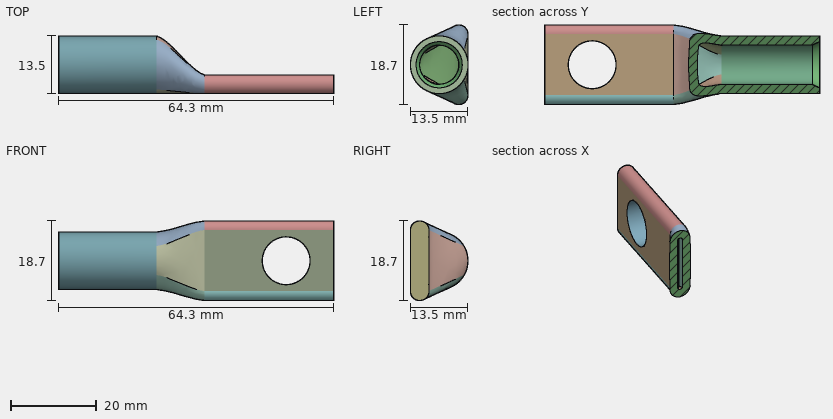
import cadquery as cq
import math

total_length = 64.3
barrel_length = 22.9
barrel_radius = 6.75
neck_length = 11.25
palm_width = 18.65
palm_thickness = 4.4

wall = palm_thickness / 2
bore_radius = barrel_radius - wall
palm_start = barrel_length + neck_length
palm_length = total_length - palm_start
palm_center_y = wall - barrel_radius

mouth_radius = 5.4
mouth_depth = 1.75

hole_diameter = 11.1
hole_x = 53.15

flat_half_angle = math.radians(30)
slit_half_gap = 0.05
neck_stations = (0.0, 0.125, 0.25, 0.5, 0.75, 0.875, 1.0)
linear_share = 0.4


def flattening(station):
    """Share of the change from round to flat at a station along the neck."""
    eased = station**2 * (3 - 2 * station)
    return linear_share * station + (1 - linear_share) * eased


def neck_wire(station, round_radius, flat_radius):
    """Section between a circle and a slot with rounded ends of flat_radius."""
    share = flattening(station)
    corner_y = round_radius * math.cos(flat_half_angle)
    corner_z = round_radius * math.sin(flat_half_angle)
    end_center_z = palm_width / 2 - wall
    x = barrel_length + station * neck_length

    def blend(round_point, flat_point):
        y, z = [a + share * (b - a) for a, b in zip(round_point, flat_point)]
        return cq.Vector(x, y, z)

    front_y = palm_center_y - flat_radius
    back_y = palm_center_y + flat_radius
    front_low = blend((-corner_y, -corner_z), (front_y, -end_center_z))
    front_mid = blend((-round_radius, 0), (front_y, 0))
    front_high = blend((-corner_y, corner_z), (front_y, end_center_z))
    top = blend((0, round_radius), (palm_center_y, end_center_z + flat_radius))
    back_high = blend((corner_y, corner_z), (back_y, end_center_z))
    back_mid = blend((round_radius, 0), (back_y, 0))
    back_low = blend((corner_y, -corner_z), (back_y, -end_center_z))
    bottom = blend((0, -round_radius), (palm_center_y, -end_center_z - flat_radius))

    def face_edge(start, middle, end):
        if share == 1:
            return cq.Edge.makeLine(start, end)
        return cq.Edge.makeThreePointArc(start, middle, end)

    return cq.Wire.assembleEdges([
        face_edge(front_low, front_mid, front_high),
        cq.Edge.makeThreePointArc(front_high, top, back_high),
        face_edge(back_high, back_mid, back_low),
        cq.Edge.makeThreePointArc(back_low, bottom, front_low),
    ])


def neck_solid(round_radius, flat_radius):
    """Loft from the barrel circle to the flat palm section."""
    wires = [neck_wire(s, round_radius, flat_radius) for s in neck_stations]
    return cq.Workplane(obj=cq.Solid.makeLoft(wires))


barrel = cq.Workplane("YZ").circle(barrel_radius).extrude(barrel_length)
palm = (
    cq.Workplane("YZ", origin=(palm_start, 0, 0))
    .center(palm_center_y, 0)
    .slot2D(palm_width, palm_thickness, 90)
    .extrude(palm_length)
)
body = barrel.union(neck_solid(barrel_radius, wall)).union(palm)

bore = cq.Workplane("YZ").circle(bore_radius).extrude(barrel_length)
mouth = cq.Workplane(obj=cq.Solid.makeCone(
    mouth_radius, bore_radius, mouth_depth, cq.Vector(0, 0, 0), cq.Vector(1, 0, 0)
))
cavity = bore.union(mouth).union(neck_solid(bore_radius, slit_half_gap))

bolt_hole = (
    cq.Workplane("XZ", origin=(hole_x, palm_center_y + wall, 0))
    .circle(hole_diameter / 2)
    .extrude(palm_thickness)
)

result = body.cut(cavity).cut(bolt_hole)